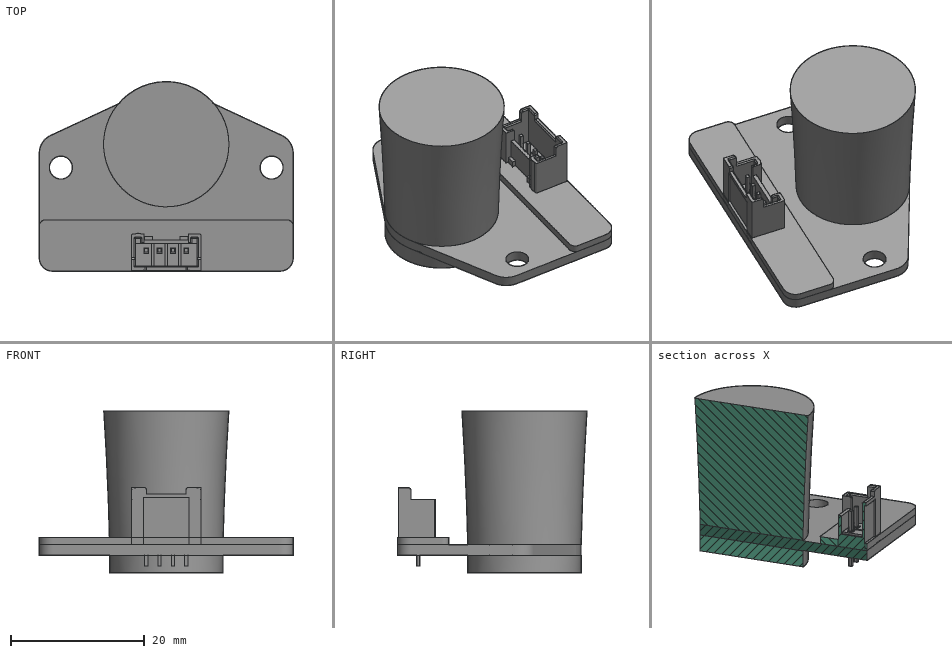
import cadquery as cq
import math


foot_radius = 8.5
foot_height = 2.61
plate_width = 38.0
plate_thickness = 1.6
plate_front_y = -19.0
front_corner_radius = 2.0
side_corner_radius = 3.0
shoulder_angle = math.radians(25)
hole_diameter = 3.4
hole_x = 15.75
hole_y = plate_front_y + 15.5
strip_depth = 7.7
strip_thickness = 1.1
strip_rear_radius = 1.0

plate_z = foot_height
plate_top_z = plate_z + plate_thickness
strip_top_z = plate_top_z + strip_thickness

knob_base_radius = foot_radius
knob_top_radius = 9.37
knob_height = 20.0
knob_hollow = 0.1

shell_half_width = 5.18
shell_front_y = plate_front_y + 0.13
side_wall = 0.55
front_wall = 0.67
arm_wall = 0.65
arm_corner_radius = 0.2
arm_rear_y = plate_front_y + 5.57
arm_reach_x = 3.33
return_wall = 0.5
rim_bevel = 0.19
back_wall_front_y = plate_front_y + 4.12
back_wall_rear_y = plate_front_y + 4.71
front_part_rear_y = plate_front_y + 2.05
front_top_z = 12.76
rear_top_z = 11.0
back_wall_top_z = 9.13
front_chamfer = 0.3
notch_half_width = 2.98
notch_depth = 0.95
window_half_width = 3.4
window_top_z = 11.25
window_depth = 0.27
floor_rise = 0.9
pad_height = 0.3
pad_gap = 0.36
rear_foot_inner_x = 2.03
rear_foot_outer_x = 3.25
rear_foot_rear_y = plate_front_y + 5.23
marker_x = -4.2
marker_half_width = 0.47
marker_bulge = 0.12

pin_count = 4
pin_pitch = 2.0
pin_size = 0.5
pin_y = plate_front_y + 3.12
pin_bottom_z = 1.0
pin_top_z = 9.75
collar_width = 0.71
collar_front = 0.48
collar_height = 0.1
pin_xs = [(i - (pin_count - 1) / 2) * pin_pitch for i in range(pin_count)]

cavity_front_y = shell_front_y + front_wall
arm_inner_y = arm_rear_y - arm_wall
floor_z = strip_top_z + floor_rise


def box(x0, x1, y0, y1, z0, z1):
    """Axis-aligned block between opposite corners."""
    return cq.Workplane("XY").box(x1 - x0, y1 - y0, z1 - z0, centered=False).translate((x0, y0, z0))


def pin_posts(z0, z1):
    """Square posts at every pin place."""
    return (
        cq.Workplane("XY", origin=(0, pin_y, z0))
        .pushPoints([(x, 0) for x in pin_xs])
        .rect(pin_size, pin_size)
        .extrude(z1 - z0)
    )


def make_foot():
    return cq.Workplane("XY").circle(foot_radius).extrude(foot_height)


def make_knob():
    top_z = plate_top_z + knob_height
    middle = ((knob_base_radius + knob_top_radius) / 2 - knob_hollow, plate_top_z + knob_height / 2)
    return (
        cq.Workplane("XZ")
        .moveTo(0, plate_top_z)
        .lineTo(knob_base_radius, plate_top_z)
        .threePointArc(middle, (knob_top_radius, top_z))
        .lineTo(0, top_z)
        .close()
        .revolve(360, (0, 0, 0), (0, 1, 0))
    )


def make_plate():
    half = plate_width / 2
    tangent_x = foot_radius * math.sin(shoulder_angle)
    tangent_y = foot_radius * math.cos(shoulder_angle)
    side_corner_y = tangent_y - (half - tangent_x) * math.tan(shoulder_angle)
    plate = (
        cq.Workplane("XY", origin=(0, 0, plate_z))
        .moveTo(-half, plate_front_y)
        .lineTo(half, plate_front_y)
        .lineTo(half, side_corner_y)
        .lineTo(tangent_x, tangent_y)
        .threePointArc((0, foot_radius), (-tangent_x, tangent_y))
        .lineTo(-half, side_corner_y)
        .close()
        .extrude(plate_thickness)
    )
    front_corners = cq.selectors.BoxSelector(
        (-plate_width, plate_front_y - 1, 0), (plate_width, plate_front_y + 1, plate_top_z)
    )
    side_corners = cq.selectors.BoxSelector(
        (-plate_width, side_corner_y - 1, 0), (plate_width, side_corner_y + 1, plate_top_z)
    )
    plate = plate.edges("|Z").edges(front_corners).fillet(front_corner_radius)
    plate = plate.edges("|Z").edges(side_corners).fillet(side_corner_radius)
    holes = (
        cq.Workplane("XY", origin=(0, 0, plate_z))
        .pushPoints([(-hole_x, hole_y), (hole_x, hole_y)])
        .circle(hole_diameter / 2)
        .extrude(plate_thickness)
    )
    return plate.cut(holes).cut(pin_posts(plate_z, plate_top_z))


def make_strip(connector):
    """Strip along the front of the plate, with a matching opening for the connector."""
    half = plate_width / 2
    strip = box(-half, half, plate_front_y, plate_front_y + strip_depth, plate_top_z, strip_top_z)
    strip = strip.edges("|Z and <Y").fillet(front_corner_radius)
    strip = strip.edges("|Z and >Y").fillet(strip_rear_radius)
    return strip.cut(connector)


def bevelled_cavity(top_z, half_width, front_y, rear_y):
    """Cavity with a bevelled rim at top_z, kept to a stretch of the shell."""
    inner_x = shell_half_width - side_wall
    pocket_x = arm_reach_x + return_wall
    outline = [
        (-inner_x, cavity_front_y),
        (inner_x, cavity_front_y),
        (inner_x, arm_inner_y),
        (pocket_x, arm_inner_y),
        (pocket_x, back_wall_front_y),
        (-pocket_x, back_wall_front_y),
        (-pocket_x, arm_inner_y),
        (-inner_x, arm_inner_y),
    ]
    bevel_z = top_z - rim_bevel
    hollow = cq.Workplane("XY", origin=(0, 0, floor_z)).polyline(outline).close().extrude(bevel_z - floor_z)
    rim = cq.Workplane("XY", origin=(0, 0, bevel_z)).polyline(outline).close().extrude(rim_bevel, taper=-45)
    return hollow.union(rim).intersect(box(-half_width, half_width, front_y, rear_y, floor_z, top_z))


def make_shell():
    half = shell_half_width
    shell = (
        cq.Workplane("YZ", origin=(-half, 0, 0))
        .moveTo(shell_front_y, plate_top_z)
        .lineTo(arm_rear_y, plate_top_z)
        .lineTo(arm_rear_y, rear_top_z)
        .lineTo(front_part_rear_y, rear_top_z)
        .lineTo(front_part_rear_y, front_top_z - front_chamfer)
        .lineTo(front_part_rear_y - front_chamfer, front_top_z)
        .lineTo(shell_front_y, front_top_z)
        .close()
        .extrude(2 * half)
    )
    shell = shell.edges("|Z and >Y").fillet(arm_corner_radius)
    shell = shell.cut(
        box(-arm_reach_x, arm_reach_x, back_wall_rear_y, arm_rear_y, plate_top_z, front_top_z)
    )
    shell = shell.cut(
        box(-arm_reach_x, arm_reach_x, back_wall_front_y, arm_rear_y, back_wall_top_z, front_top_z)
    )
    notch_z = front_top_z - notch_depth
    notch = (
        cq.Workplane("XZ", origin=(0, cavity_front_y, 0))
        .moveTo(-notch_half_width, notch_z)
        .lineTo(notch_half_width, notch_z)
        .lineTo(notch_half_width, front_top_z - rim_bevel)
        .lineTo(notch_half_width + rim_bevel, front_top_z)
        .lineTo(-notch_half_width - rim_bevel, front_top_z)
        .lineTo(-notch_half_width, front_top_z - rim_bevel)
        .close()
        .extrude(front_wall)
    )
    shell = shell.cut(notch)
    shell = shell.cut(bevelled_cavity(rear_top_z, half, front_part_rear_y, arm_rear_y))
    shell = shell.cut(bevelled_cavity(front_top_z, half, shell_front_y, front_part_rear_y))
    shell = shell.cut(bevelled_cavity(notch_z, notch_half_width, shell_front_y, front_part_rear_y))
    return shell.cut(
        box(-window_half_width, window_half_width, shell_front_y, shell_front_y + window_depth,
            plate_top_z, window_top_z)
    )


def make_floor_pads():
    """Raised floor parted by grooves midway between the pins, with a collar around each pin."""
    half = shell_half_width - side_wall
    pad_top_z = floor_z + pad_height
    pads = box(-half, half, cavity_front_y, back_wall_front_y, floor_z, pad_top_z)
    for x in pin_xs[:-1]:
        groove_x = x + pin_pitch / 2
        pads = pads.cut(
            box(groove_x - pad_gap / 2, groove_x + pad_gap / 2, cavity_front_y, back_wall_front_y,
                floor_z, pad_top_z)
        )
    for x in pin_xs:
        pads = pads.union(
            box(x - collar_width / 2, x + collar_width / 2, pin_y - collar_front, pin_y + collar_width / 2,
                floor_z, pad_top_z + collar_height)
        )
    return pads


def make_rear_feet():
    """Low blocks behind the back wall, one beside each arm."""
    left = box(-rear_foot_outer_x, -rear_foot_inner_x, back_wall_rear_y, rear_foot_rear_y,
               plate_top_z, floor_z)
    return left.union(left.mirror("YZ"))


def make_marker():
    """Rounded rib down the back of the left arm."""
    return (
        cq.Workplane("XY", origin=(0, 0, plate_top_z))
        .moveTo(marker_x - marker_half_width, arm_rear_y)
        .threePointArc((marker_x, arm_rear_y + marker_bulge), (marker_x + marker_half_width, arm_rear_y))
        .close()
        .extrude(rear_top_z - plate_top_z)
    )


def make_connector():
    pins = pin_posts(pin_bottom_z, pin_top_z)
    return (
        make_shell()
        .union(make_floor_pads())
        .union(make_rear_feet())
        .union(make_marker())
        .union(pins)
    )


foot = make_foot()
knob = make_knob()
plate = make_plate()
connector = make_connector()
strip = make_strip(connector)

result = cq.Compound.makeCompound([foot.val(), knob.val(), plate.val(), strip.val(), connector.val()])